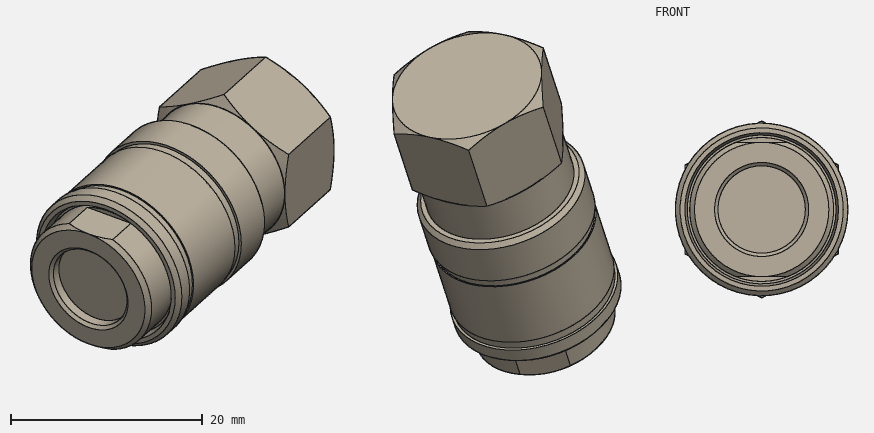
import cadquery as cq
import math

LENGTH = 35.0
OVERLAP = 1.0

NUT_SIDES = 6
NUT_ACROSS_FLATS = 16.0
NUT_LENGTH = 9.5
NUT_CHAMFER_ANGLE = 30.0
NUT_START = LENGTH - NUT_LENGTH

NECK_RADIUS = 7.95

SLEEVE_START = 3.5
SLEEVE_END = 20.5
SLEEVE_RADIUS = 9.0
SLEEVE_CHAMFER = 0.5
GRIP_RADIUS = 8.85
GROOVE_RADIUS = 8.7
GROOVE_WIDTH = 1.0
FRONT_GROOVE_START = 5.5
REAR_GROOVE_START = 14.5

CLEARANCE_MOUTH_RADIUS = 8.0
CLEARANCE_FLOOR_RADIUS = 7.75
CLEARANCE_DEPTH = 1.0

NOSE_RADIUS = 7.5
NOSE_CHAMFER = 0.5
NOSE_ACROSS_FLATS = 14.0
NOSE_FLAT_LENGTH = 4.0

SOCKET_RADIUS = 4.55
SOCKET_DEPTH = 1.4
SOCKET_MOUTH_RADIUS = 4.9
SOCKET_MOUTH_DEPTH = 0.35


def cylinder(radius, start, end):
    """Round bar along Y from start to end."""
    return cq.Workplane("XZ", origin=(0, start, 0)).circle(radius).extrude(start - end)


def revolve_about_y(profile):
    """Solid of revolution about Y from (radius, y) points."""
    return cq.Workplane("XY").polyline(profile).close().revolve(360, (0, 0, 0), (0, 1, 0))


def make_nut():
    corner_radius = NUT_ACROSS_FLATS / 2 / math.cos(math.pi / NUT_SIDES)
    hexagon = (
        cq.Workplane("XZ", origin=(0, NUT_START, 0))
        .transformed(rotate=(0, 0, 90))
        .polygon(NUT_SIDES, 2 * corner_radius)
        .extrude(-NUT_LENGTH)
    )
    end_radius = NUT_ACROSS_FLATS / 2
    chamfer = (corner_radius - end_radius) * math.tan(math.radians(NUT_CHAMFER_ANGLE))
    envelope = revolve_about_y([
        (0, NUT_START),
        (end_radius, NUT_START),
        (corner_radius, NUT_START + chamfer),
        (corner_radius, LENGTH - chamfer),
        (end_radius, LENGTH),
        (0, LENGTH),
    ])
    return hexagon.intersect(envelope)


def make_sleeve():
    front_groove_end = FRONT_GROOVE_START + GROOVE_WIDTH
    rear_groove_end = REAR_GROOVE_START + GROOVE_WIDTH
    chamfered_radius = SLEEVE_RADIUS - SLEEVE_CHAMFER
    sleeve = revolve_about_y([
        (0, SLEEVE_START),
        (chamfered_radius, SLEEVE_START),
        (SLEEVE_RADIUS, SLEEVE_START + SLEEVE_CHAMFER),
        (SLEEVE_RADIUS, FRONT_GROOVE_START),
        (GROOVE_RADIUS, FRONT_GROOVE_START),
        (GROOVE_RADIUS, front_groove_end),
        (GRIP_RADIUS, front_groove_end),
        (GRIP_RADIUS, REAR_GROOVE_START),
        (GROOVE_RADIUS, REAR_GROOVE_START),
        (GROOVE_RADIUS, rear_groove_end),
        (SLEEVE_RADIUS, rear_groove_end),
        (SLEEVE_RADIUS, SLEEVE_END - SLEEVE_CHAMFER),
        (chamfered_radius, SLEEVE_END),
        (0, SLEEVE_END),
    ])
    clearance_floor = SLEEVE_START + CLEARANCE_DEPTH
    clearance = revolve_about_y([
        (0, SLEEVE_START),
        (CLEARANCE_MOUTH_RADIUS, SLEEVE_START),
        (CLEARANCE_FLOOR_RADIUS, clearance_floor),
        (0, clearance_floor),
    ])
    return sleeve.cut(clearance)


def make_nose():
    nose_length = SLEEVE_START + CLEARANCE_DEPTH + OVERLAP
    nose = cylinder(NOSE_RADIUS, 0, nose_length).faces("<Y").chamfer(NOSE_CHAMFER)
    top_flat_cutter = cq.Workplane("XY", origin=(0, 0, NOSE_ACROSS_FLATS / 2)).box(
        2 * NOSE_RADIUS, NOSE_FLAT_LENGTH, NOSE_RADIUS, centered=(True, False, False)
    )
    return nose.cut(top_flat_cutter).cut(top_flat_cutter.mirror("XY"))


def make_socket():
    return revolve_about_y([
        (0, 0),
        (SOCKET_MOUTH_RADIUS, 0),
        (SOCKET_RADIUS, SOCKET_MOUTH_DEPTH),
        (SOCKET_RADIUS, SOCKET_DEPTH),
        (0, SOCKET_DEPTH),
    ])


neck = cylinder(NECK_RADIUS, SLEEVE_END - OVERLAP, NUT_START + OVERLAP)
body = make_nut().union(neck).union(make_sleeve()).union(make_nose())
result = body.cut(make_socket())